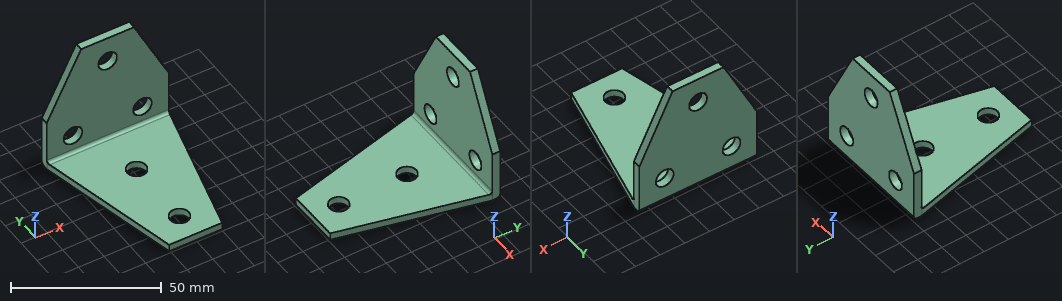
import cadquery as cq

width = 47.65
height = 47.65
depth = 58.75
upright_thickness = 3.2
base_thickness = 3.0
tip_width = 20.75
shoulder_height = 20.75
inner_bend_radius = 1.25
outer_bend_radius = 1.45
hole_diameter = 7.15
hole_pitch = 27.1
hole_end_margin = 10.3


def make_angle_section():
    """Full-width L section with a rounded bend."""
    section = (
        cq.Workplane("YZ")
        .polyline([
            (0, 0),
            (0, height),
            (-upright_thickness, height),
            (-upright_thickness, base_thickness),
            (-depth, base_thickness),
            (-depth, 0),
        ])
        .close()
        .extrude(width / 2, both=True)
    )
    inner_corner = cq.selectors.NearestToPointSelector((0, -upright_thickness, base_thickness))
    outer_corner = cq.selectors.NearestToPointSelector((0, 0, 0))
    section = section.edges("|X").edges(inner_corner).fillet(inner_bend_radius)
    return section.edges("|X").edges(outer_corner).fillet(outer_bend_radius)


def tapered_outline(workplane, start, shoulder, end):
    """Symmetric outline, full width up to the shoulder, then narrowing to the tip."""
    return workplane.polyline([
        (-width / 2, start),
        (-width / 2, shoulder),
        (-tip_width / 2, end),
        (tip_width / 2, end),
        (width / 2, shoulder),
        (width / 2, start),
    ]).close()


upright_outline = tapered_outline(cq.Workplane("XZ"), 0, shoulder_height, height).extrude(depth)
base_outline = tapered_outline(cq.Workplane("XY"), 0, -upright_thickness, -depth).extrude(height)

top_hole_z = height - hole_end_margin
lower_hole_z = top_hole_z - hole_pitch
upright_holes = (
    cq.Workplane("XZ")
    .pushPoints([
        (0, top_hole_z),
        (-hole_pitch / 2, lower_hole_z),
        (hole_pitch / 2, lower_hole_z),
    ])
    .circle(hole_diameter / 2)
    .extrude(upright_thickness)
)

front_hole_y = hole_end_margin - depth
base_holes = (
    cq.Workplane("XY")
    .pushPoints([(0, front_hole_y), (0, front_hole_y + hole_pitch)])
    .circle(hole_diameter / 2)
    .extrude(base_thickness)
)

bracket = make_angle_section().intersect(upright_outline).intersect(base_outline)
result = bracket.cut(upright_holes).cut(base_holes)